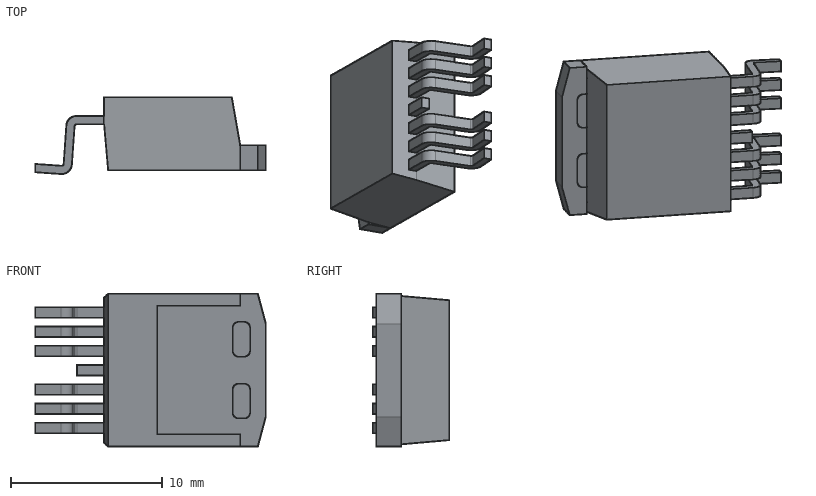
import cadquery as cq
import math


overall_length = 15.24

body_length = 9.0
body_depth = 4.84
package_width = 10.095
side_draft = math.tan(math.radians(5))
tab_side_draft = math.tan(math.radians(10))

tab_thickness = 1.67
tab_end = 10.69
slug_start = 3.53
slug_width = 8.49
corner_cut_length = 0.53
corner_cut_width = corner_cut_length / math.tan(math.radians(15))

lock_length = 1.15
lock_width = 2.3
lock_radius = 0.4
lock_x = 9.07
lock_spacing = 4.08

lead_thickness = 0.56
lead_width = 0.71
lead_pitch = 1.27
lead_y = 3.33
lead_tilt = math.radians(4)
inner_bend_radius = 0.13
outer_bend_radius = inner_bend_radius + lead_thickness
ankle_x = -2.42
ankle_y = 0.01
lead_tip_x = tab_end - overall_length
short_lead_length = 1.79
bent_lead_positions = (-3, -2, -1, 1, 2, 3)

half_width = package_width / 2
half_lead = lead_thickness / 2
lead_underside = lead_y - half_lead


def extrude_y(outline_points, depth):
    """Prism standing on the mounting face; points are (x, z)."""
    return cq.Workplane("XZ").polyline(outline_points).close().extrude(-depth)


def extrude_z(outline_points, width):
    """Prism centred on Z = 0; points are (x, y)."""
    return cq.Workplane("XY").polyline(outline_points).close().extrude(width / 2, both=True)


def make_mould_locks():
    return (
        cq.Workplane("XZ")
        .pushPoints([(lock_x, -lock_spacing / 2), (lock_x, lock_spacing / 2)])
        .rect(lock_length, lock_width)
        .extrude(-tab_thickness)
        .edges("|Y")
        .fillet(lock_radius)
    )


def make_tab_blank():
    """T-shaped plate with cut corners, before the lock slots."""
    half_slug = slug_width / 2
    cut_x = tab_end - corner_cut_length
    cut_z = half_width - corner_cut_width
    return extrude_y(
        [
            (slug_start, -half_slug),
            (body_length, -half_slug),
            (body_length, -half_width),
            (cut_x, -half_width),
            (tab_end, -cut_z),
            (tab_end, cut_z),
            (cut_x, half_width),
            (body_length, half_width),
            (body_length, half_slug),
            (slug_start, half_slug),
        ],
        tab_thickness,
    )


def make_tab():
    return make_tab_blank().cut(make_mould_locks())


def make_body():
    profile = extrude_z(
        [
            (lead_underside * side_draft, 0),
            (body_length, 0),
            (body_length, tab_thickness),
            (body_length - (body_depth - tab_thickness) * tab_side_draft, body_depth),
            (0, body_depth),
            (0, lead_underside),
        ],
        package_width,
    )
    half_back_width = half_width - body_depth * side_draft
    sides = (
        cq.Workplane("YZ")
        .polyline(
            [
                (0, -half_width),
                (body_depth, -half_back_width),
                (body_depth, half_back_width),
                (0, half_width),
            ]
        )
        .close()
        .extrude(body_length)
    )
    return profile.intersect(sides).cut(make_tab_blank()).union(make_mould_locks())


def make_bent_lead(z):
    knee_x = ankle_x + (lead_y - ankle_y) * math.tan(lead_tilt)
    knee_dx = half_lead * math.tan((math.pi / 2 - lead_tilt) / 2)
    ankle_dy = half_lead * (math.cos(lead_tilt) + math.sin(lead_tilt))
    ankle_dx = half_lead * (math.cos(lead_tilt) - math.sin(lead_tilt))
    knee_outer = (knee_x - knee_dx, lead_y + half_lead)
    knee_inner = (knee_x + knee_dx, lead_underside)
    ankle_outer = (ankle_x + ankle_dx, ankle_y - ankle_dy)
    ankle_inner = (ankle_x - ankle_dx, ankle_y + ankle_dy)
    tip_y = ankle_y + (ankle_x - lead_tip_x) * math.tan(lead_tilt)
    half_tip = half_lead / math.cos(lead_tilt)

    lead = extrude_z(
        [
            (0, lead_y + half_lead),
            knee_outer,
            ankle_inner,
            (lead_tip_x, tip_y + half_tip),
            (lead_tip_x, tip_y - half_tip),
            ankle_outer,
            knee_inner,
            (0, lead_underside),
        ],
        lead_width,
    )
    bends = (
        (knee_outer, outer_bend_radius),
        (knee_inner, inner_bend_radius),
        (ankle_outer, outer_bend_radius),
        (ankle_inner, inner_bend_radius),
    )
    for corner, radius in bends:
        lead = lead.edges(cq.NearestToPointSelector((*corner, 0))).fillet(radius)
    return lead.translate((0, 0, z))


def make_short_lead():
    return cq.Workplane("XY").box(short_lead_length, lead_thickness, lead_width).translate(
        (-short_lead_length / 2, lead_y, 0)
    )


body = make_body()
tab = make_tab()
short_lead = make_short_lead()
bent_leads = [make_bent_lead(position * lead_pitch) for position in bent_lead_positions]

result = cq.Compound.makeCompound(
    [
        *body.solids().vals(),
        *tab.solids().vals(),
        *short_lead.solids().vals(),
        *[lead.solids().val() for lead in bent_leads],
    ]
)